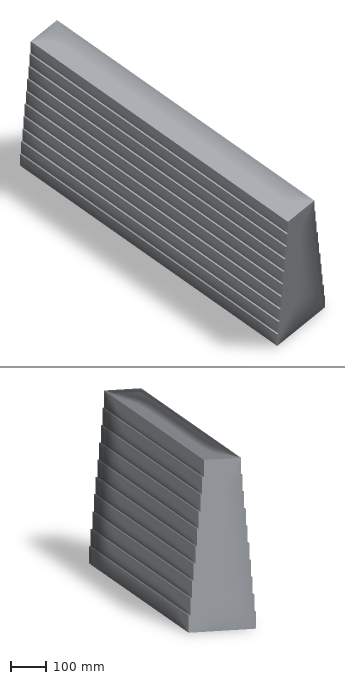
import cadquery as cq

length = 1000.0
base_width = 200.0
height = 500.0
layer_count = 10
ledge = 5.0

layer_height = height / layer_count


def layer(index):
    """One full-length slab, narrower than the slab below by a ledge on each side."""
    width = base_width - 2 * ledge * index
    return (
        cq.Workplane("XY")
        .workplane(offset=index * layer_height)
        .rect(length, width)
        .extrude(layer_height)
    )


result = layer(0)
for index in range(1, layer_count):
    result = result.union(layer(index))